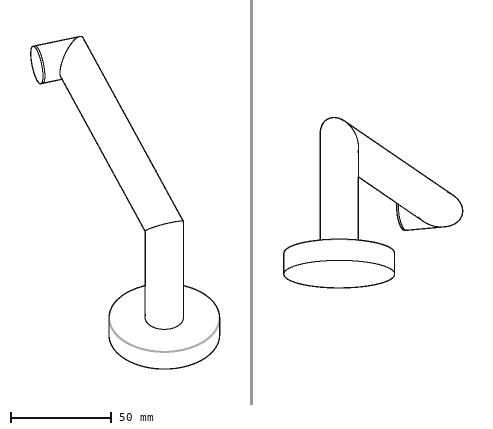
import cadquery as cq

rose_diameter = 55.0
rose_height = 11.0
rose_rim_fillet = 0.4

overall_length = 180
overall_height = 78.0
bar_diameter = 19.0
tip_length = 17.5
cap_thickness = 0.99

bar_radius = bar_diameter / 2
bar_axis_z = overall_height - bar_radius
arm_length = overall_length - rose_diameter / 2 - bar_radius

foot = cq.Vector(0, 0, rose_height)
upper_corner = cq.Vector(0, 0, bar_axis_z)
outer_corner = cq.Vector(-arm_length, 0, bar_axis_z)
cap_seat = cq.Vector(-arm_length, -tip_length, bar_axis_z)

UP = cq.Vector(0, 0, 1)
ALONG = cq.Vector(-1, 0, 0)
OUT = cq.Vector(0, -1, 0)


def make_rose():
    """Flat disc with a slightly rounded upper rim."""
    disc = cq.Workplane("XY").circle(rose_diameter / 2).extrude(rose_height)
    return disc.faces(">Z").edges().fillet(rose_rim_fillet)


def make_rod(start, end, direction, start_mitred=False, end_mitred=False):
    """Round rod between two axis points, made longer at each end that a mitre will trim."""
    first = start - direction * bar_radius if start_mitred else start
    last = end + direction * bar_radius if end_mitred else end
    seat = cq.Workplane(cq.Plane(origin=first, normal=direction))
    return seat.circle(bar_radius).extrude((last - first).Length)


def mitre(rod, corner, rod_side):
    """Keep the part of the rod on the rod_side of a 45 degree plane through the corner."""
    keep_size = 2 * overall_length
    keep_plane = cq.Plane(origin=corner, normal=rod_side)
    keep_block = cq.Workplane(keep_plane).rect(keep_size, keep_size).extrude(keep_size)
    return rod.intersect(keep_block)


def make_post():
    """Upright length from the rose to the upper corner."""
    rod = make_rod(foot, upper_corner, UP, end_mitred=True)
    return mitre(rod, upper_corner, -(UP + ALONG))


def make_arm():
    """Long horizontal length, mitred at both ends."""
    rod = make_rod(upper_corner, outer_corner, ALONG, start_mitred=True, end_mitred=True)
    rod = mitre(rod, upper_corner, UP + ALONG)
    return mitre(rod, outer_corner, -(ALONG + OUT))


def make_tip():
    """Short length from the outer corner to the end cap."""
    rod = make_rod(outer_corner, cap_seat, OUT, start_mitred=True)
    return mitre(rod, outer_corner, ALONG + OUT)


def make_end_cap():
    """Thin disc closing the end of the tip, flush with the bar."""
    return cq.Workplane(cq.Plane(origin=cap_seat, normal=OUT)).circle(bar_radius).extrude(cap_thickness)


rose = make_rose()
post = make_post()
arm = make_arm()
tip = make_tip()
end_cap = make_end_cap()

result = cq.Compound.makeCompound([rose.val(), post.val(), arm.val(), tip.val(), end_cap.val()])